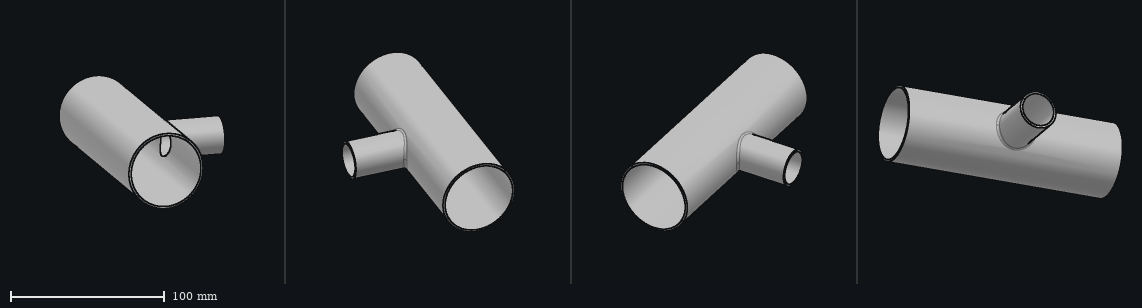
import cadquery as cq

run_length = 152.4
run_outer_diameter = 50.7
run_bore_diameter = 47.5

branch_outer_diameter = 25.5
branch_bore_diameter = 22.1
overall_depth = 85.6
branch_reach = overall_depth - run_outer_diameter / 2

junction_fillet = 1.5


def run_cylinder(diameter):
    return cq.Workplane("YZ").circle(diameter / 2).extrude(run_length / 2, both=True)


def branch_cylinder(diameter):
    return cq.Workplane("XZ").circle(diameter / 2).extrude(-branch_reach)


body = run_cylinder(run_outer_diameter).union(branch_cylinder(branch_outer_diameter))
junction_box = cq.selectors.BoxSelector(
    (-branch_outer_diameter, 0, -branch_outer_diameter),
    (branch_outer_diameter, run_outer_diameter / 2 + junction_fillet, branch_outer_diameter),
)
body = body.edges(junction_box).fillet(junction_fillet)

result = body.cut(run_cylinder(run_bore_diameter)).cut(branch_cylinder(branch_bore_diameter))